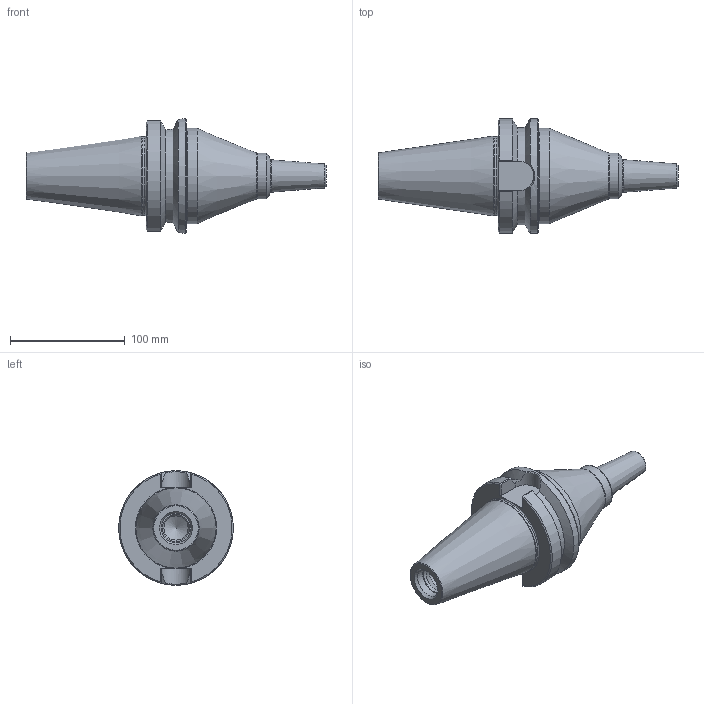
import cadquery as cq
import math


shank_length = 101.8
projection = 160.0
total_length = shank_length + projection

gauge_radius = 69.85 / 2
shank_taper = 7 / 24
shank_end_radius = gauge_radius - shank_length * shank_taper / 2
shank_end_chamfer = 0.6

relief_radius = 34.4
relief_slope_length = 0.8
relief_fillet = 1.0
taper_end = shank_length - relief_slope_length
taper_end_radius = gauge_radius - relief_slope_length * shank_taper / 2

flange_start = shank_length + 3.0
flange_end = shank_length + 38.0
flange_radius = 50.0
flange_chamfer = 1.0
groove_center = shank_length + 23.15
groove_floor_radius = 42.5
groove_floor_half_width = 3.4
groove_side_angle = math.radians(30)
groove_depth = flange_radius - groove_floor_radius
groove_half_width = groove_floor_half_width + groove_depth * math.tan(groove_side_angle)

keyway_half_width = 25.7 / 2
keyway_floor_height = 35.4
keyway_end = shank_length + 34.2
keyway_edge_chamfer = 1.0
keyway_cut_overrun = 3.0
keyway_cut_height = flange_radius - keyway_floor_height + keyway_cut_overrun

body_radius = 41.5
body_root_fillet = 1.0
body_cone_start = shank_length + 47.8
collar_radius = 20.0
collar_start = shank_length + 99.5
collar_end = shank_length + 108.2
collar_root_fillet = 2.5
collar_edge_fillet = 1.0

nose_tip_radius = 10.5
nose_angle = math.radians(4.5)
nose_tip_chamfer = 1.0
nose_start = collar_end + 3.7
nose_start_radius = nose_tip_radius + (total_length - nose_start) * math.tan(nose_angle)
nose_root_fillet = 1.2

bore_cone_angle = math.radians(30)
bore_mouth_radius = 14.5
pilot_radius = 13.0
pilot_start = (bore_mouth_radius - pilot_radius) / math.tan(bore_cone_angle)
pilot_end = 9.0
thread_radius = 12.0
thread_end = 12.0
drill_radius = 10.5
drill_start = thread_end + (thread_radius - drill_radius) / math.tan(bore_cone_angle)
drill_end = 60.0
drill_point_half_angle = math.radians(59)
drill_point = drill_end + drill_radius / math.tan(drill_point_half_angle)

edge_tolerance = 0.001


def near(value, target):
    return math.isclose(value, target, abs_tol=edge_tolerance)


def revolve_about_x(points):
    """Revolve an (x, radius) outline a full turn about the X axis."""
    return cq.Workplane("XY").polyline(points).close().revolve(360, (0, 0, 0), (1, 0, 0))


def rim(solid, x, radius):
    """Select the circular edge of the given radius centered on the X axis at x."""
    return solid.edges("%CIRCLE").filter(
        lambda edge: near(edge.arcCenter().x, x) and near(edge.radius(), radius)
    )


def make_turned_body():
    """Turned outside shape with its chamfers and fillets."""
    body = revolve_about_x([
        (0, 0),
        (0, shank_end_radius),
        (taper_end, taper_end_radius),
        (shank_length, relief_radius),
        (flange_start, relief_radius),
        (flange_start, flange_radius),
        (groove_center - groove_half_width, flange_radius),
        (groove_center - groove_floor_half_width, groove_floor_radius),
        (groove_center + groove_floor_half_width, groove_floor_radius),
        (groove_center + groove_half_width, flange_radius),
        (flange_end, flange_radius),
        (flange_end, body_radius),
        (body_cone_start, body_radius),
        (collar_start, collar_radius),
        (collar_end, collar_radius),
        (nose_start, nose_start_radius),
        (total_length, nose_tip_radius),
        (total_length, 0),
    ])
    chamfers = [
        (0, shank_end_radius, shank_end_chamfer),
        (flange_start, flange_radius, flange_chamfer),
        (flange_end, flange_radius, flange_chamfer),
        (total_length, nose_tip_radius, nose_tip_chamfer),
    ]
    for x, radius, size in chamfers:
        body = rim(body, x, radius).chamfer(size)
    fillets = [
        (flange_start, relief_radius, relief_fillet),
        (flange_end, body_radius, body_root_fillet),
        (collar_start, collar_radius, collar_root_fillet),
        (collar_end, collar_radius, collar_edge_fillet),
        (nose_start, nose_start_radius, nose_root_fillet),
    ]
    for x, radius, size in fillets:
        body = rim(body, x, radius).fillet(size)
    return body


def make_bore():
    """Countersunk pilot, thread and drilled hole with a conical point."""
    return revolve_about_x([
        (0, 0),
        (0, bore_mouth_radius),
        (pilot_start, pilot_radius),
        (pilot_end, pilot_radius),
        (pilot_end, thread_radius),
        (thread_end, thread_radius),
        (drill_start, drill_radius),
        (drill_end, drill_radius),
        (drill_point, 0),
    ])


def make_keyway():
    """Cutter for the keyway on the +Z side."""
    open_end = flange_start - keyway_cut_overrun
    arc_start = keyway_end - keyway_half_width
    return (
        cq.Workplane("XY", origin=(0, 0, keyway_floor_height))
        .moveTo(open_end, -keyway_half_width)
        .lineTo(arc_start, -keyway_half_width)
        .threePointArc((keyway_end, 0), (arc_start, keyway_half_width))
        .lineTo(open_end, keyway_half_width)
        .close()
        .extrude(keyway_cut_height)
    )


def on_keyway_rim(edge):
    """True for keyway edges on the flange's outer surface and on its shank-side face."""
    bounds = edge.BoundingBox()
    height = abs(edge.Center().z)
    corner_height = math.sqrt((flange_radius - flange_chamfer) ** 2 - keyway_half_width ** 2)
    between_walls = max(-bounds.ymin, bounds.ymax) < keyway_half_width + edge_tolerance
    on_flange = flange_start - edge_tolerance < bounds.xmin < keyway_end
    on_outer_surface = height > corner_height
    on_shank_side = near(bounds.xmax, flange_start) and near(bounds.ylen, 0) and height > keyway_floor_height
    return between_walls and on_flange and (on_outer_surface or on_shank_side)


keyway = make_keyway()
holder = make_turned_body().cut(make_bore())
holder = holder.cut(keyway).cut(keyway.mirror("XY"))
result = holder.edges().filter(on_keyway_rim).chamfer(keyway_edge_chamfer).solids()